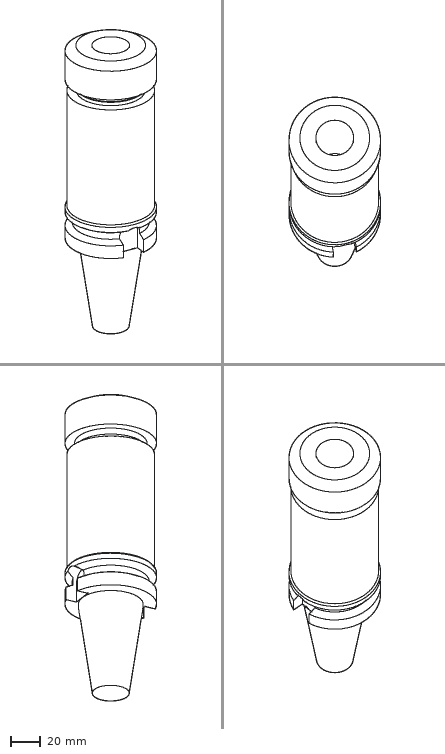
import cadquery as cq

TOTAL_HEIGHT = 215.5
TAPER_HEIGHT = 65.5
FLANGE_BOTTOM = 67.5
GROOVE_LOWER_EDGE = 77.1
GROOVE_FLOOR_BOTTOM = 79.7
GROOVE_FLOOR_TOP = 84.7
GROOVE_UPPER_EDGE = 87.5
FLANGE_CHAMFER_START = 91.3
FLANGE_TOP = 92.6
BODY_TOP = 181.0
NECK_STEP_START = 183.5
NECK_STEP_END = 184.8
NUT_BOTTOM = 189.3
NUT_CHAMFER_START = 211.3

FLANGE_RADIUS = 31.5
NUT_RADIUS = FLANGE_RADIUS
NUT_FACE_RADIUS = 24.0
BODY_RADIUS = 30.2
NECK_RADIUS = 23.7
COLLAR_RADIUS = 25.0
GROOVE_RADIUS = 26.5
TAPER_TIP_RADIUS = 12.7
TAPER_BASE_RADIUS = TAPER_TIP_RADIUS + TAPER_HEIGHT * 7 / 24 / 2

BORE_RADIUS = 13.0
BORE_DEPTH = 64.6

SLOT_WIDTH = 16.2
SLOT_TOP = 88.7
SLOT_FLOOR_X = 22.5


def make_holder():
    """Revolve the taper, flange, body and clamping nut as one profile."""
    profile = [
        (0, 0),
        (TAPER_TIP_RADIUS, 0),
        (TAPER_BASE_RADIUS, TAPER_HEIGHT),
        (TAPER_BASE_RADIUS, FLANGE_BOTTOM),
        (FLANGE_RADIUS, FLANGE_BOTTOM),
        (FLANGE_RADIUS, GROOVE_LOWER_EDGE),
        (GROOVE_RADIUS, GROOVE_FLOOR_BOTTOM),
        (GROOVE_RADIUS, GROOVE_FLOOR_TOP),
        (FLANGE_RADIUS, GROOVE_UPPER_EDGE),
        (FLANGE_RADIUS, FLANGE_CHAMFER_START),
        (BODY_RADIUS, FLANGE_TOP),
        (BODY_RADIUS, BODY_TOP),
        (NECK_RADIUS, BODY_TOP),
        (NECK_RADIUS, NECK_STEP_START),
        (COLLAR_RADIUS, NECK_STEP_END),
        (COLLAR_RADIUS, NUT_BOTTOM),
        (NUT_RADIUS, NUT_BOTTOM),
        (NUT_RADIUS, NUT_CHAMFER_START),
        (NUT_FACE_RADIUS, TOTAL_HEIGHT),
        (0, TOTAL_HEIGHT),
    ]
    return cq.Workplane("XZ").polyline(profile).close().revolve(360, (0, 0), (0, 1))


def make_bore():
    """Blind bore opening at the nut face."""
    bore_floor = cq.Workplane("XY").workplane(offset=TOTAL_HEIGHT - BORE_DEPTH)
    return bore_floor.circle(BORE_RADIUS).extrude(BORE_DEPTH)


def make_drive_slot(side):
    """Round-topped slot cut inward to a flat floor; side is +1 or -1 along X."""
    half_width = SLOT_WIDTH / 2
    arc_start = SLOT_TOP - half_width
    return (
        cq.Workplane("YZ")
        .workplane(offset=side * SLOT_FLOOR_X)
        .moveTo(-half_width, FLANGE_BOTTOM)
        .lineTo(half_width, FLANGE_BOTTOM)
        .lineTo(half_width, arc_start)
        .threePointArc((0, SLOT_TOP), (-half_width, arc_start))
        .close()
        .extrude(side * FLANGE_RADIUS)
    )


result = make_holder().cut(make_bore())
for side in (-1, 1):
    result = result.cut(make_drive_slot(side))